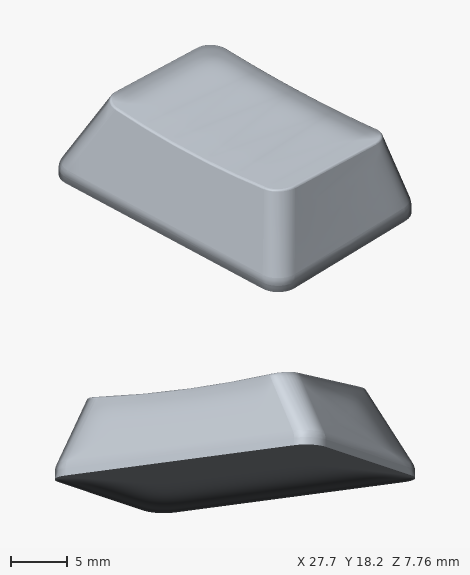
import cadquery as cq
import math

length = 27.7
width = 18.16
base_radius = 2.0

skirt_height = 0.66
band_height = 0.66
band_steps = 3
front_height = 7.85
back_height = 7.0

side_inset = 3.1
front_inset = 3.43
back_inset = 0.55
top_radius = 1.9

dish_depth = 0.5
top_edge_radius = 0.25

top_length = length - 2 * side_inset
front_y = front_inset - width / 2
back_y = width / 2 - back_inset
top_span = back_y - front_y
top_drop = front_height - back_height
top_depth = math.hypot(top_span, top_drop)
tilt = math.degrees(math.atan2(top_drop, top_span))
middle_height = (front_height + back_height) / 2
top_centre = cq.Vector(0, (front_y + back_y) / 2, middle_height)

lean_start = skirt_height + band_height / 2
side_lean = side_inset / (middle_height - lean_start)
front_lean = front_inset / (front_height - lean_start)
back_lean = back_inset / (back_height - lean_start)

dish_radius = ((top_length / 2) ** 2 + dish_depth ** 2) / (2 * dish_depth)


def rounded_outline(x_size, y_size, radius):
    """Closed rectangle with rounded corners, centred on the origin."""
    block = cq.Workplane("XY").rect(x_size, y_size).extrude(0.28).edges("|Z").fillet(radius)
    return block.faces("<Z").wires().val()


def on_top_plane(shape):
    """Move a shape from the horizontal plane to the sloping top plane."""
    return shape.rotate((0, 0, 0), (1, 0, 0), -tilt).translate(top_centre)


def band_outline(rise):
    """Outline in the curved band; each wall bends from upright to its full lean."""
    bend = rise ** 2 / (2 * band_height)
    front_shift = front_lean * bend
    back_shift = back_lean * bend
    outline = rounded_outline(
        length - 2 * side_lean * bend,
        width - front_shift - back_shift,
        base_radius,
    )
    centre = cq.Vector(0, (front_shift - back_shift) / 2, skirt_height + rise)
    return outline.translate(centre)


def make_body():
    """Upright skirt, curved band and straight walls up to the sloping top."""
    skirt = cq.Workplane("XY").rect(length, width).extrude(skirt_height)
    skirt = skirt.edges("|Z").fillet(base_radius)

    rings = [band_outline(band_height * step / band_steps) for step in range(band_steps + 1)]
    band = cq.Solid.makeLoft(rings)

    top_outline = on_top_plane(rounded_outline(top_length, top_depth, top_radius))
    walls = cq.Solid.makeLoft([rings[-1], top_outline], True)
    return skirt.union(cq.Workplane(band)).union(cq.Workplane(walls))


def make_dish():
    """Shallow cylinder that runs front to back along the slope."""
    cylinder = (
        cq.Workplane("XZ")
        .center(0, dish_radius - dish_depth)
        .circle(dish_radius)
        .extrude(width, both=True)
    )
    return on_top_plane(cylinder)


dished_body = make_body().cut(make_dish())

dish_bottom = (0, top_centre.y, middle_height - dish_depth)
top_face = dished_body.faces(cq.selectors.NearestToPointSelector(dish_bottom))
result = top_face.edges().fillet(top_edge_radius)